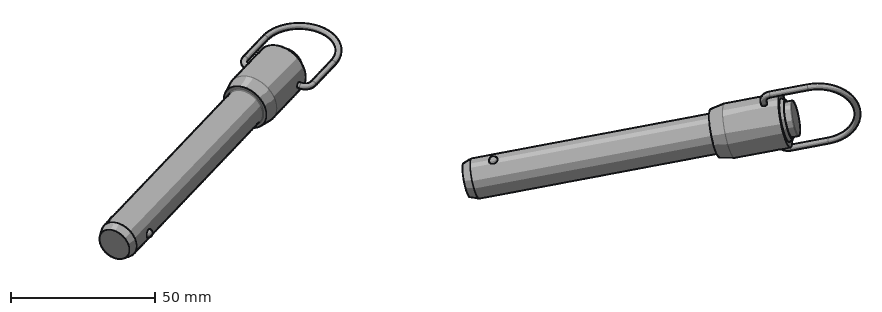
import cadquery as cq
import math


SHANK_RADIUS = 7.14
SHANK_LENGTH = 89.1
ROOT_FILLET = 0.25
TIP_RADIUS = 6.05
TIP_LENGTH = 3.1

BALL_RADIUS = 1.6
BALL_SPAN = 16.9
BALL_FROM_TIP = 11.4

HEAD_RADIUS = 9.65
HEAD_LENGTH = 25.1
HEAD_UNDERSIDE_RADIUS = 8.6
HEAD_TAPER_LENGTH = 5.1

COLLAR_BASE_RADIUS = 7.8
COLLAR_TOP_RADIUS = 7.0
COLLAR_HEIGHT = 1.25
BUTTON_RADIUS = 6.3
BUTTON_HEIGHT = 2.5
BUTTON_EDGE_FILLET = 0.25

HANDLE_WIDTH = 29.46
OVERALL_LENGTH = 140.72
WIRE_RADIUS = 1.1
WIRE_BEND_RADIUS = 3.15
HANDLE_LEG_LENGTH = 13.6

TIP_Y = -SHANK_LENGTH
HANDLE_END_Y = TIP_Y + OVERALL_LENGTH
COLLAR_TOP_Y = HEAD_LENGTH + COLLAR_HEIGHT
BUTTON_TOP_Y = COLLAR_TOP_Y + BUTTON_HEIGHT


def make_pin_body():
    """Shank, head, collar and button, turned in one piece about the Y axis."""
    profile = (
        cq.Workplane("XY")
        .moveTo(0, BUTTON_TOP_Y)
        .lineTo(BUTTON_RADIUS - BUTTON_EDGE_FILLET, BUTTON_TOP_Y)
        .radiusArc((BUTTON_RADIUS, BUTTON_TOP_Y - BUTTON_EDGE_FILLET), BUTTON_EDGE_FILLET)
        .lineTo(BUTTON_RADIUS, COLLAR_TOP_Y)
        .lineTo(COLLAR_TOP_RADIUS, COLLAR_TOP_Y)
        .lineTo(COLLAR_BASE_RADIUS, HEAD_LENGTH)
        .lineTo(HEAD_RADIUS, HEAD_LENGTH)
        .lineTo(HEAD_RADIUS, HEAD_TAPER_LENGTH)
        .lineTo(HEAD_UNDERSIDE_RADIUS, 0)
        .lineTo(SHANK_RADIUS + ROOT_FILLET, 0)
        .radiusArc((SHANK_RADIUS, -ROOT_FILLET), -ROOT_FILLET)
        .lineTo(SHANK_RADIUS, TIP_Y + TIP_LENGTH)
        .lineTo(TIP_RADIUS, TIP_Y)
        .lineTo(0, TIP_Y)
        .close()
    )
    return profile.revolve(360, (0, 0, 0), (0, 1, 0))


def make_ball(side):
    """One locking ball, standing out of the shank on the given side (+1 or -1 in X)."""
    ball_x = side * (BALL_SPAN / 2 - BALL_RADIUS)
    return cq.Workplane("XY").sphere(BALL_RADIUS).translate((ball_x, TIP_Y + BALL_FROM_TIP, 0))


def make_handle():
    """Round wire bent into a bow, with both ends turned inward and joined inside the head."""
    leg_x = HANDLE_WIDTH / 2 - WIRE_RADIUS
    leg_top_y = HANDLE_END_Y - HANDLE_WIDTH / 2
    leg_bottom_y = leg_top_y - HANDLE_LEG_LENGTH
    anchor_y = leg_bottom_y - WIRE_BEND_RADIUS
    bend_x = leg_x - WIRE_BEND_RADIUS
    anchor_x = HEAD_RADIUS / 2
    bend_mid_x = bend_x + WIRE_BEND_RADIUS * math.sin(math.pi / 4)
    bend_mid_y = leg_bottom_y - WIRE_BEND_RADIUS * math.cos(math.pi / 4)
    path = (
        cq.Workplane("XY")
        .moveTo(-anchor_x, anchor_y)
        .lineTo(-bend_x, anchor_y)
        .threePointArc((-bend_mid_x, bend_mid_y), (-leg_x, leg_bottom_y))
        .lineTo(-leg_x, leg_top_y)
        .threePointArc((0, leg_top_y + leg_x), (leg_x, leg_top_y))
        .lineTo(leg_x, leg_bottom_y)
        .threePointArc((bend_mid_x, bend_mid_y), (bend_x, anchor_y))
        .lineTo(anchor_x, anchor_y)
    )
    section = cq.Workplane("YZ", origin=(-anchor_x, anchor_y, 0)).circle(WIRE_RADIUS)
    return section.sweep(path)


result = make_pin_body().union(make_handle())
for ball_side in (-1, 1):
    result = result.union(make_ball(ball_side))